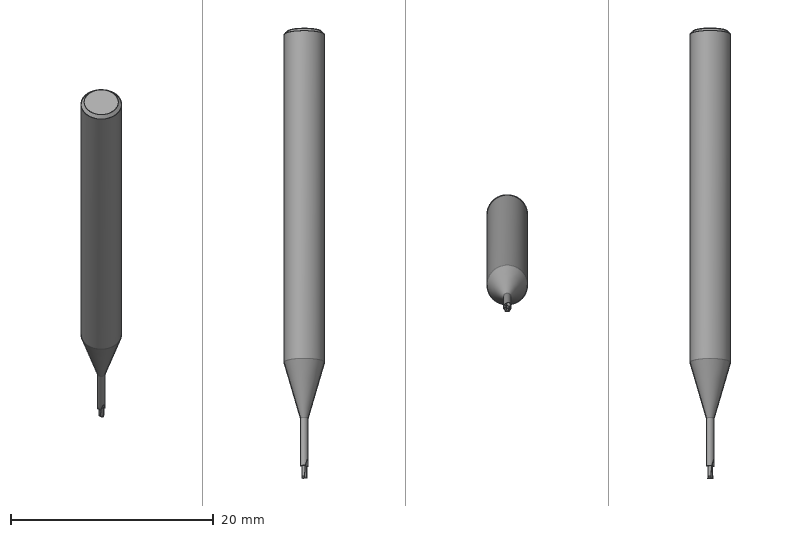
import cadquery as cq
import math

total_length = 45.0
shank_diameter = 4.0
shank_chamfer = 0.3
taper_bottom = 6.05
taper_top = 11.65
neck_diameter = 0.75

tip_diameter = 0.5
tip_length = 1.2
flute_diameter = 0.55
flute_depth = 0.1
flute_twist = 20.0
end_flat_width = 0.2
end_gash_height = 0.2

runout_height = 0.65

shank_radius = shank_diameter / 2
neck_radius = neck_diameter / 2
tip_radius = tip_diameter / 2
flute_radius = flute_diameter / 2
flute_floor = tip_radius - flute_depth
flute_offset = flute_floor + flute_radius
flute_start_angles = (150.0, -30.0)


def make_runout(angle):
    """Round groove that leans outward from the flute floor to the neck surface."""
    lean = math.atan2(neck_radius - flute_floor, runout_height)
    direction = cq.Vector(math.sin(lean), 0, math.cos(lean))
    start = cq.Vector(flute_floor + flute_radius / math.cos(lean), 0, tip_length)
    start -= direction * runout_height
    groove = cq.Solid.makeCylinder(flute_radius, 3 * runout_height, start, direction)
    return groove.rotate(cq.Vector(0, 0, 0), cq.Vector(0, 0, 1), angle)


def make_shank():
    """Chamfered shank, taper and slender neck, with a run-out for each flute."""
    shank = (
        cq.Workplane("XZ")
        .moveTo(0, tip_length)
        .lineTo(neck_radius, tip_length)
        .lineTo(neck_radius, taper_bottom)
        .lineTo(shank_radius, taper_top)
        .lineTo(shank_radius, total_length - shank_chamfer)
        .lineTo(shank_radius - shank_chamfer, total_length)
        .lineTo(0, total_length)
        .close()
        .revolve(360, (0, 0, 0), (0, 1, 0))
    )
    for start_angle in flute_start_angles:
        shank = shank.cut(cq.Workplane(obj=make_runout(start_angle + flute_twist)))
    return shank


def make_cutting_tip():
    """Round tip with two right-hand helical flutes and a gashed end."""
    tip = cq.Workplane("XY").circle(tip_radius).extrude(tip_length)
    for start_angle in flute_start_angles:
        angle = math.radians(start_angle)
        flute = (
            cq.Workplane("XY")
            .moveTo(flute_offset * math.cos(angle), flute_offset * math.sin(angle))
            .circle(flute_radius)
            .twistExtrude(tip_length, flute_twist)
        )
        tip = tip.cut(flute)

    half_flat = end_flat_width / 2
    for side in (-1, 1):
        gash = (
            cq.Workplane("YZ", origin=(-tip_radius, 0, 0))
            .moveTo(side * half_flat, 0)
            .lineTo(side * tip_radius, 0)
            .lineTo(side * tip_radius, end_gash_height)
            .close()
            .extrude(tip_diameter)
        )
        tip = tip.cut(gash)
    return tip


shank = make_shank()
cutting_tip = make_cutting_tip()
result = cq.Compound.makeCompound([shank.val(), cutting_tip.val()])